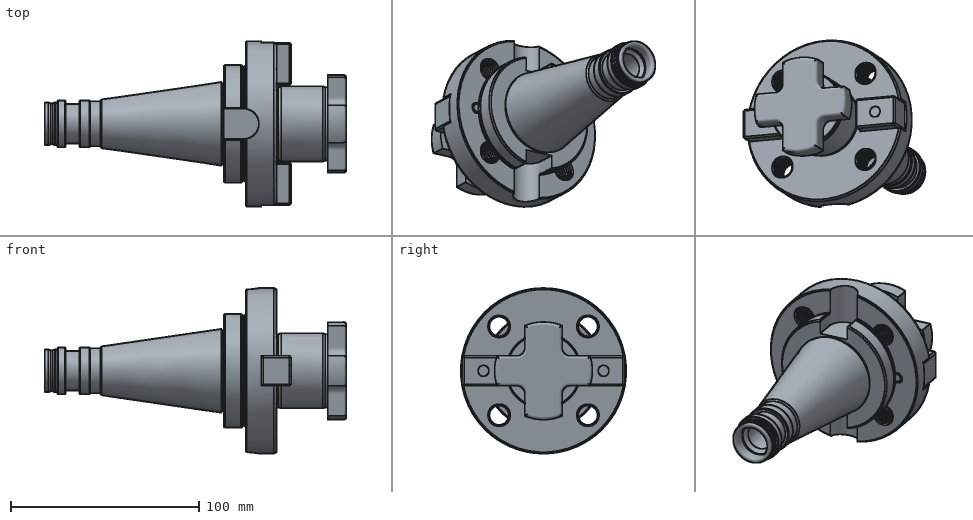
import cadquery as cq
import math

overall_length = 160.4
tail_collar_start = 6.7
tail_collar_end = 11.2
tail_band_start = 18.5
tail_band_end = 24.2
taper_start = 30.3
gauge_plane = 93.8
collar_start = 95.1
collar_end = 105.0
flange_groove_start = 105.4
flange_groove_end = 106.2
flange_start = 106.8
flange_end = 123.3
spigot_end = 149.2
head_start = 150.5

rim_radius = 11.4
rim_groove_radius = 10.9
tail_collar_radius = 12.5
tail_neck_radius = 10.6
tail_step_radius = 12.0
gauge_radius = 22.3
taper_ratio = 7 / 48
taper_start_radius = gauge_radius - taper_ratio * (gauge_plane - taper_start)
gauge_neck_radius = 21.7
collar_radius = 31.5
flange_groove_radius = 30.3
flange_groove_edge_radius = 31.0
flange_diameter = 88.0
flange_radius = flange_diameter / 2
spigot_radius = 20.0
spigot_neck_radius = 19.5

fine_chamfer = 0.5
rim_fillet = 0.6
taper_lead_length = 0.8
collar_chamfer = 0.8
flange_front_chamfer = 0.6
flange_back_length = 1.5
flange_back_drop = 0.8
spigot_taper_length = 1.5
flange_neck_length = 1.0

rim_groove_start = 2.0
rim_groove_flank = 1.5
rim_groove_rear_flank = 1.0
rim_groove_floor = 1.0
rim_ridge_length = 0.5

mouth_radius = 10.3
counterbore_radius = 8.7
mouth_round = mouth_radius - counterbore_radius
counterbore_depth = 5.8
relief_depth = 0.3
relief_flank = 0.5
relief_floor_length = 1.0
bolt_entry_radius = 8.3
bolt_entry_depth = 8.2
bolt_bore_radius = 7.0
bolt_bore_depth = 32.0

hole_circle_radius = 33.4
hole_count = 4
first_hole_angle = 45
hole_thread_major = 6.0
hole_thread_minor = 5.1
hole_thread_turns = 9
hole_thread_pitch = (flange_end - flange_start) / hole_thread_turns

slot_half_width = 8.0
slot_floor = 22.5
slot_round_center = 105.9
slot_edge_chamfer = 0.8

key_angles = (0, 180)
key_half_width = 8.0
key_start = 115.2
key_end = 131.0
key_inner = 20.5
key_outer = 43.1
key_chamfer = 1.0
key_screw_offset = 31.9
key_screw_radius = 2.9
key_screw_tip_chamfer = 0.8

head_radius = 26.0
head_lobe_half_width_y = 10.0
head_lobe_half_width_z = 8.0
head_corner_fillet = 4.2
head_edge_fillet = 1.6
shank_radius = 10.0
shank_length = 32.0


def revolve_about_x(points):
    """Solid of revolution about X from (x, radius) points."""
    return cq.Workplane("XZ").polyline(points).close().revolve(360, (0, 0, 0), (1, 0, 0))


def x_cylinder(radius, start, end):
    return cq.Workplane("YZ", origin=(start, 0, 0)).circle(radius).extrude(end - start)


def turned_about_x(body, angle):
    return body.rotate((0, 0, 0), (1, 0, 0), angle)


def cut_both_sides(body, cutter):
    """Cut with the cutter and with its copy on the opposite side of the X axis."""
    return body.cut(cutter).cut(turned_about_x(cutter, 180))


def box_between(x_range, y_range, z_range):
    lengths = [high - low for low, high in (x_range, y_range, z_range)]
    corner = (x_range[0], y_range[0], z_range[0])
    return cq.Workplane("XY").box(*lengths, centered=False).translate(corner)


def thread_cutter(start, major, minor, pitch, turns):
    """Ring-grooved core that cuts a thread of closed V rings along X."""
    points = [(start, 0), (start, major)]
    for turn in range(turns):
        points.append((start + (turn + 0.5) * pitch, minor))
        points.append((start + (turn + 1) * pitch, major))
    points.append((start + turns * pitch, 0))
    return revolve_about_x(points)


def make_tail_and_taper():
    groove_floor_start = rim_groove_start + rim_groove_flank
    groove_floor_end = groove_floor_start + rim_groove_floor
    ridge_start = groove_floor_end + rim_groove_rear_flank
    ridge_end = ridge_start + rim_ridge_length
    tail = revolve_about_x([
        (0, 0),
        (0, rim_radius),
        (rim_groove_start, rim_radius),
        (groove_floor_start, rim_groove_radius),
        (groove_floor_end, rim_groove_radius),
        (ridge_start, rim_radius),
        (ridge_end, rim_radius),
        (tail_collar_start, rim_groove_radius),
        (tail_collar_start, tail_collar_radius - fine_chamfer),
        (tail_collar_start + fine_chamfer, tail_collar_radius),
        (tail_collar_end - fine_chamfer, tail_collar_radius),
        (tail_collar_end, tail_collar_radius - fine_chamfer),
        (tail_collar_end, tail_neck_radius),
        (tail_band_start, tail_neck_radius),
        (tail_band_start, tail_collar_radius - fine_chamfer),
        (tail_band_start + fine_chamfer, tail_collar_radius),
        (tail_band_end - fine_chamfer, tail_collar_radius),
        (tail_band_end, tail_step_radius),
        (taper_start - taper_lead_length, tail_step_radius),
        (taper_start, taper_start_radius),
        (gauge_plane, gauge_radius),
        (gauge_plane + fine_chamfer, gauge_neck_radius),
        (collar_start, gauge_neck_radius),
        (collar_start, 0),
    ])
    return tail.faces("<X").edges().fillet(rim_fillet)


def make_collar():
    """Collar, and the relief groove between it and the flange."""
    return revolve_about_x([
        (collar_start, 0),
        (collar_start, collar_radius - collar_chamfer),
        (collar_start + collar_chamfer, collar_radius),
        (collar_end - collar_chamfer, collar_radius),
        (collar_end, flange_groove_edge_radius),
        (flange_groove_start, flange_groove_radius),
        (flange_groove_end, flange_groove_radius),
        (flange_start, flange_groove_edge_radius),
        (flange_start, 0),
    ])


def make_flange():
    return revolve_about_x([
        (flange_start, 0),
        (flange_start, flange_radius - flange_front_chamfer),
        (flange_start + flange_front_chamfer, flange_radius),
        (flange_end - flange_back_length, flange_radius),
        (flange_end, flange_radius - flange_back_drop),
        (flange_end, 0),
    ])


def make_spigot():
    neck_end = flange_end + flange_neck_length
    return revolve_about_x([
        (flange_end, 0),
        (flange_end, spigot_neck_radius),
        (neck_end, spigot_neck_radius),
        (neck_end + spigot_taper_length, spigot_radius),
        (spigot_end - spigot_taper_length, spigot_radius),
        (spigot_end, spigot_neck_radius),
        (spigot_end, 0),
    ])


def cut_draw_bolt_bore(arbor):
    """Blind bore: rounded mouth, counterbore, shallow relief groove and a 45 degree entry."""
    relief_floor_start = counterbore_depth + relief_flank
    relief_floor_end = relief_floor_start + relief_floor_length
    bolt_bore_start = bolt_entry_depth + bolt_entry_radius - bolt_bore_radius
    round_middle = mouth_round * (1 - math.sqrt(0.5))
    bore = (
        cq.Workplane("XZ")
        .lineTo(0, mouth_radius)
        .threePointArc(
            (round_middle, counterbore_radius + round_middle), (mouth_round, counterbore_radius)
        )
        .lineTo(counterbore_depth, counterbore_radius)
        .lineTo(relief_floor_start, counterbore_radius + relief_depth)
        .lineTo(relief_floor_end, counterbore_radius + relief_depth)
        .lineTo(bolt_entry_depth, bolt_entry_radius)
        .lineTo(bolt_bore_start, bolt_bore_radius)
        .lineTo(bolt_bore_depth, bolt_bore_radius)
        .lineTo(bolt_bore_depth, 0)
        .close()
        .revolve(360, (0, 0, 0), (1, 0, 0))
    )
    return arbor.cut(bore)


def cut_flange_holes(arbor):
    hole = thread_cutter(
        flange_start, hole_thread_major, hole_thread_minor, hole_thread_pitch, hole_thread_turns
    ).translate((0, hole_circle_radius, 0))
    for index in range(hole_count):
        angle = first_hole_angle + index * 360 / hole_count
        arbor = arbor.cut(turned_about_x(hole, angle))
    return arbor


def cut_drive_slots(arbor):
    slot = (
        cq.Workplane("XY", origin=(0, 0, slot_floor))
        .moveTo(collar_start, -slot_half_width)
        .lineTo(slot_round_center, -slot_half_width)
        .threePointArc(
            (slot_round_center + slot_half_width, 0), (slot_round_center, slot_half_width)
        )
        .lineTo(collar_start, slot_half_width)
        .close()
        .extrude(flange_radius)
    )
    bevel_root = math.sqrt(collar_radius**2 - slot_half_width**2) - slot_edge_chamfer
    bevel_height = 2 * slot_edge_chamfer
    bevel = (
        cq.Workplane("YZ", origin=(collar_start, 0, 0))
        .polyline([
            (-slot_half_width, bevel_root),
            (slot_half_width, bevel_root),
            (slot_half_width + bevel_height, bevel_root + bevel_height),
            (-slot_half_width - bevel_height, bevel_root + bevel_height),
        ])
        .close()
        .extrude(collar_end - collar_start)
    )
    cutter = slot.union(bevel)
    return cut_both_sides(arbor, cutter)


def key_screw_blank():
    """Plain cylinder at +Y that fills the hole of a key screw."""
    return x_cylinder(key_screw_radius, flange_start, key_end).translate((0, key_screw_offset, 0))


def make_key_screw():
    """Screw at +Y, flush with the front of the flange and the end of the key."""
    return key_screw_blank().faces("<X").edges().chamfer(key_screw_tip_chamfer)


def make_key():
    """Rectangular driving key at +Y, with its screw hole."""
    width = (-key_half_width, key_half_width)
    key = box_between((key_start, key_end), (key_inner, key_outer), width)
    key = key.edges().chamfer(key_chamfer)
    return key.cut(key_screw_blank())


def cut_keyways(arbor):
    width = (-key_half_width, key_half_width)
    keyway = box_between((key_start, flange_end), (key_inner, flange_radius), width)
    cutter = keyway.union(key_screw_blank())
    return cut_both_sides(arbor, cutter)


def make_arbor():
    arbor = make_tail_and_taper().union(make_collar()).union(make_flange()).union(make_spigot())
    arbor = cut_draw_bolt_bore(arbor)
    arbor = cut_drive_slots(arbor)
    arbor = cut_flange_holes(arbor)
    arbor = cut_keyways(arbor)
    return arbor.cut(x_cylinder(shank_radius, spigot_end - shank_length, spigot_end))


def make_clamp_screw():
    """Screw with a four-lobed head, a round washer face and a plain shank."""
    head_length = overall_length - head_start
    plane = cq.Workplane("YZ", origin=(head_start, 0, 0))
    cross = plane.rect(2 * head_lobe_half_width_y, 2 * head_radius).extrude(head_length)
    cross = cross.union(plane.rect(2 * head_radius, 2 * head_lobe_half_width_z).extrude(head_length))
    corner_reach = (head_lobe_half_width_y + head_radius) / 2
    inner_corners = cq.selectors.BoxSelector(
        (head_start, -corner_reach, -corner_reach), (overall_length, corner_reach, corner_reach)
    )
    cross = cross.edges("|X").edges(inner_corners).fillet(head_corner_fillet)
    head = cross.intersect(x_cylinder(head_radius, head_start, overall_length))
    head = head.faces(">X").edges().fillet(head_edge_fillet)
    washer = x_cylinder(spigot_neck_radius, spigot_end, head_start)
    shank = x_cylinder(shank_radius, spigot_end - shank_length, spigot_end)
    return head.union(washer).union(shank)


arbor = make_arbor()
clamp_screw = make_clamp_screw()
keys = [turned_about_x(make_key(), angle) for angle in key_angles]
key_screws = [turned_about_x(make_key_screw(), angle) for angle in key_angles]

result = cq.Compound.makeCompound([
    arbor.val(),
    clamp_screw.val(),
    *[key.val() for key in keys],
    *[screw.val() for screw in key_screws],
])